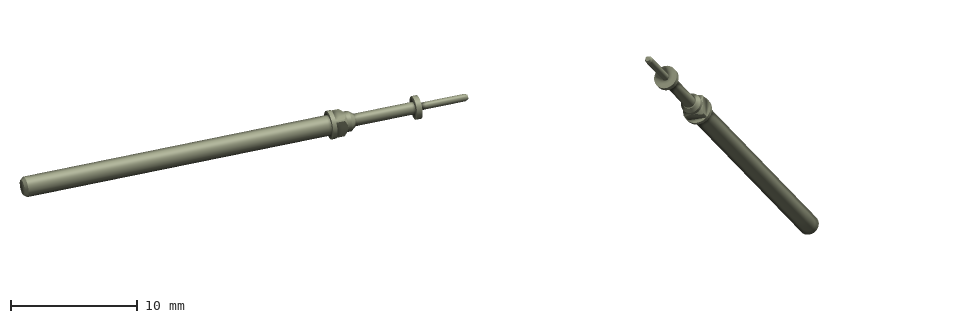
import cadquery as cq


barrel_diameter = 1.65
barrel_length = 25.5
end_bevel_width = 0.2
end_bevel_length = 0.25

collar_diameter = 2.3
collar_thickness = 0.35

head_length = 1.7
head_diameter = barrel_diameter
head_bevel_width = 0.25
head_bevel_length = 0.35
head_neck_length = 0.7
square_across_flats = head_diameter
square_corner_diameter = 2.2

rod_diameter = 1.0
rod_length = 5.0
disk_diameter = 1.9
disk_thickness = 0.45
pin_diameter = 0.6
pin_length = 4.05
pin_bevel_width = 0.1
pin_bevel_length = 0.25

barrel_end_y = -barrel_length
head_base_y = collar_thickness
head_front_y = head_base_y + head_length
disk_back_y = head_front_y + rod_length
disk_front_y = disk_back_y + disk_thickness
tip_y = disk_front_y + pin_length


def turn(points):
    """Revolve an outline of (radius, y) points about the Y axis."""
    return cq.Workplane("XY").polyline(points).close().revolve(360, (0, 0, 0), (0, 1, 0))


def make_cylinder(diameter, start_y, length):
    """Cylinder along +Y, starting at start_y."""
    return cq.Workplane("XZ", origin=(0, start_y, 0)).circle(diameter / 2).extrude(-length)


def make_barrel():
    """Plain barrel with a bevelled end."""
    radius = barrel_diameter / 2
    return turn([
        (0, barrel_end_y),
        (radius - end_bevel_width, barrel_end_y),
        (radius, barrel_end_y + end_bevel_length),
        (radius, 0),
        (0, 0),
    ])


def make_head():
    """Bevelled round neck that widens on a 45 degree cone into a square with round corners."""
    neck_radius = head_diameter / 2
    corner_radius = square_corner_diameter / 2
    neck_back_y = head_front_y - head_neck_length
    cone_back_y = neck_back_y - (corner_radius - neck_radius)
    turned = turn([
        (0, head_base_y),
        (corner_radius, head_base_y),
        (corner_radius, cone_back_y),
        (neck_radius, neck_back_y),
        (neck_radius, head_front_y - head_bevel_length),
        (neck_radius - head_bevel_width, head_front_y),
        (0, head_front_y),
    ])
    square = (
        cq.Workplane("XZ", origin=(0, head_base_y, 0))
        .rect(square_across_flats, square_across_flats)
        .extrude(-head_length)
    )
    return turned.intersect(square)


def make_pin():
    """Thin contact pin with a bevelled tip."""
    radius = pin_diameter / 2
    return turn([
        (0, disk_front_y),
        (radius, disk_front_y),
        (radius, tip_y - pin_bevel_length),
        (radius - pin_bevel_width, tip_y),
        (0, tip_y),
    ])


result = (
    make_barrel()
    .union(make_cylinder(collar_diameter, 0, collar_thickness))
    .union(make_head())
    .union(make_cylinder(rod_diameter, head_front_y, rod_length))
    .union(make_cylinder(disk_diameter, disk_back_y, disk_thickness))
    .union(make_pin())
)